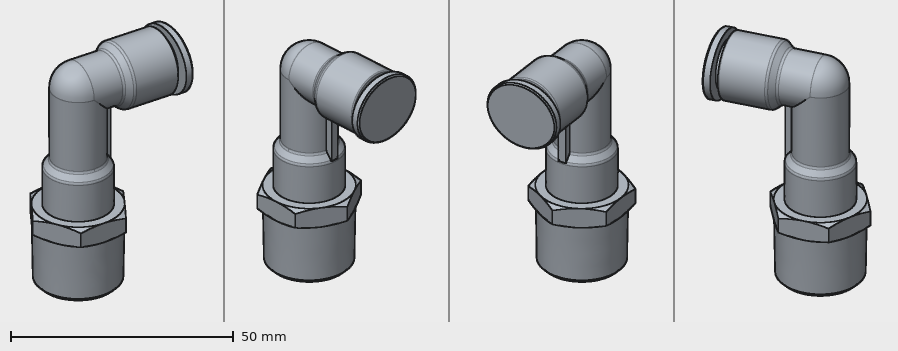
import cadquery as cq
import math

elbow_height = 50.3
tube_radius = 6.55
sleeve_radius = 8.1
shoulder_length = 2.0
blend_radius = 1.05

thread_length = 15.0
thread_top_radius = 10.45
thread_bottom_radius = 10.2
thread_bevel = 1.15

hex_across_flats = 21.0
hex_height = 5.0
hex_bevel_height = 0.7
hex_corner_radius = hex_across_flats / 2 / math.cos(math.pi / 6)
hex_top = thread_length + hex_height

leg_shoulder_height = 30.0
socket_shoulder_y = 10.0

overall_depth = 37.1
ring_outer_y = overall_depth - hex_corner_radius
ring_thickness = 2.0
ring_half_width = 9.3
ring_half_height = 8.1
ring_bevel = 0.35
ring_inner_y = ring_outer_y - ring_thickness
neck_radius = 5.9
neck_length = 1.3
socket_end_y = ring_inner_y - neck_length
socket_edge_round = 0.3

web_thickness = 2.0


def stepped_leg(sleeve_end, shoulder, elbow):
    """Sleeve, rounded conical shoulder and tube, turned about Z up to the elbow centre."""
    toward_elbow = math.copysign(1, elbow - shoulder)
    tube_start = shoulder + toward_elbow * shoulder_length
    profile = (
        cq.Workplane("XZ")
        .moveTo(0, sleeve_end)
        .lineTo(sleeve_radius, sleeve_end)
        .lineTo(sleeve_radius, shoulder)
        .lineTo(tube_radius, tube_start)
        .lineTo(tube_radius, elbow)
        .lineTo(0, elbow)
        .close()
    )
    leg = profile.revolve(360, (0, 0, 0), (0, 1, 0))
    shoulder_zone = cq.selectors.BoxSelector(
        (-2 * sleeve_radius, -2 * sleeve_radius, min(shoulder, tube_start) - blend_radius),
        (2 * sleeve_radius, 2 * sleeve_radius, max(shoulder, tube_start) + blend_radius),
    )
    return leg.edges("%CIRCLE").edges(shoulder_zone).fillet(blend_radius)


def lay_along_y(body):
    """Turn a body built along +Z so it runs along +Y at elbow height."""
    return body.rotate((0, 0, 0), (1, 0, 0), -90).translate((0, 0, elbow_height))


def mitred_elbow():
    """Both legs joined by a ball at the elbow centre."""
    leg = stepped_leg(hex_top, leg_shoulder_height, elbow_height)
    socket = stepped_leg(socket_end_y, socket_shoulder_y, 0)
    socket = lay_along_y(socket.faces(">Z").edges().fillet(socket_edge_round))
    ball = cq.Workplane("XY").sphere(tube_radius).translate((0, 0, elbow_height))
    return leg.union(socket).union(ball)


def corner_web():
    """Flat web between the leg shoulder and the socket shoulder, flush with the leg sleeve."""
    web_height = elbow_height - leg_shoulder_height
    return cq.Workplane("XY", origin=(0, 0, leg_shoulder_height)).box(
        web_thickness, sleeve_radius, web_height, centered=(True, False, False)
    )


def release_ring():
    """Oval ring with a bevelled outer rim, on a round neck."""
    neck = cq.Workplane("XY", origin=(0, 0, socket_end_y)).circle(neck_radius).extrude(neck_length)
    ring = (
        cq.Workplane("XY", origin=(0, 0, ring_inner_y))
        .ellipse(ring_half_width, ring_half_height)
        .extrude(ring_thickness)
        .faces(">Z")
        .edges()
        .chamfer(ring_bevel)
    )
    return lay_along_y(neck.union(ring))


def hexagon():
    """Hexagon with its corners bevelled above and below."""
    flat_radius = hex_across_flats / 2
    prism = (
        cq.Workplane("XY", origin=(0, 0, thread_length))
        .polygon(6, 2 * hex_corner_radius)
        .extrude(hex_height)
        .rotate((0, 0, 0), (0, 0, 1), 30)
    )
    bevel_envelope = (
        cq.Workplane("XZ")
        .moveTo(0, thread_length)
        .lineTo(flat_radius, thread_length)
        .lineTo(hex_corner_radius, thread_length + hex_bevel_height)
        .lineTo(hex_corner_radius, hex_top - hex_bevel_height)
        .lineTo(flat_radius, hex_top)
        .lineTo(0, hex_top)
        .close()
        .revolve(360, (0, 0, 0), (0, 1, 0))
    )
    return prism.intersect(bevel_envelope)


def thread():
    """Tapered thread envelope with a 45 degree bevel at the bottom."""
    return (
        cq.Workplane("XZ")
        .lineTo(thread_bottom_radius - thread_bevel, 0)
        .lineTo(thread_bottom_radius, thread_bevel)
        .lineTo(thread_top_radius, thread_length)
        .lineTo(0, thread_length)
        .close()
        .revolve(360, (0, 0, 0), (0, 1, 0))
    )


result = thread().union(hexagon()).union(mitred_elbow()).union(corner_web()).union(release_ring())